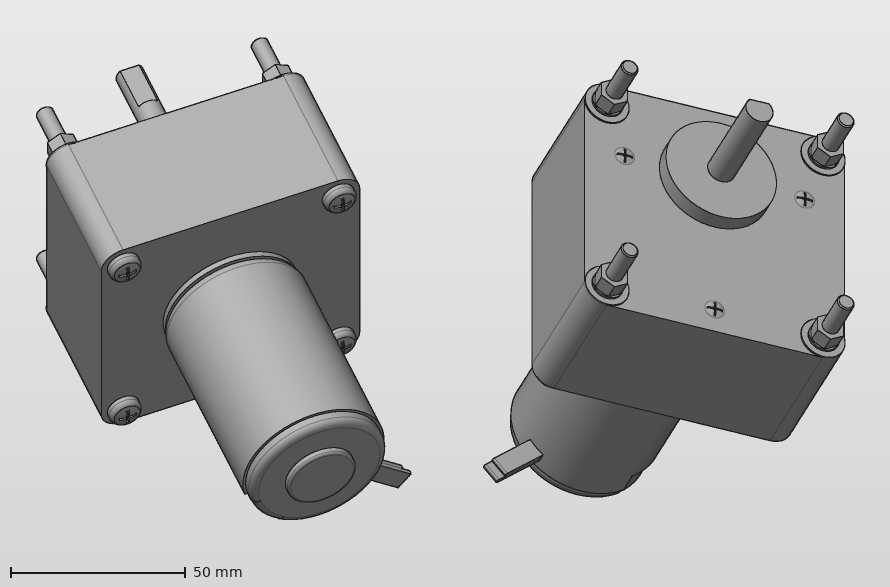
import cadquery as cq
import math

plate_x = 35.2
pad_x = 34.7
box_end_x = 76.6
overlap = 1.0

box_side = 80.0
corner_radius = 6.75
screw_offset = box_side / 2 - corner_radius

shaft_z = 15.0
shaft_diameter = 8.4
flat_length = 14.0
flat_height = 7.2
boss_x = 30.0
boss_diameter = 34.0

screw_diameter = 5.2
screw_tip_x = 16.7
screw_chamfer = 0.4
nut_x = 29.0
nut_end_x = 34.0
nut_across_flats = 8.0
nut_chamfer = 0.35
washer_diameter = 9.4
head_diameter = 9.8
head_rim = 1.3
head_height = 4.0
head_shoulder_height = 3.1
head_dome_diameter = 8.0
head_slot_length = 5.2
head_slot_width = 0.8
head_slot_depth = 1.2

cover_screw_centres = [(-27.7, 16.0), (27.7, 16.0), (0.0, -32.0)]
cover_screw_diameter = 6.0
cover_screw_height = plate_x - pad_x
cover_slot_length = 4.6
cover_slot_width = 0.5
cover_slot_depth = 0.7

motor_radius = 21.85
spigot_radius = 20.9
spigot_end_x = 78.4
body_round = 3.3
ring_end_x = 139.5
cap_radius = 21.0
cap_end_x = 143.9
cap_round = 2.2
bearing_radius = 10.5
bearing_end_x = 146.1
bearing_round = 0.8

recess_x = 132.5
recess_radius = 20.8
recess_start = 193.3
recess_sweep = 40.7

terminal_angle = -42.0
terminal_width = 6.0
terminal_tip_round = 0.5
terminal_root_radius = 19.0
long_blade = (135.3, 136.8, 39.7)
short_blade = (133.9, 135.3, 37.0)


def section(x):
    """Sketch plane across the motor axis at station x; local axes are Y and Z."""
    return cq.Workplane("YZ", origin=(x, 0, 0))


def rod(x_start, x_end, diameter, y=0.0, z=0.0):
    """Cylinder along X between two stations."""
    return section(x_start).center(y, z).circle(diameter / 2).extrude(x_end - x_start)


def cross_slot(x_start, depth, length, width, y, z):
    """Cross-shaped cutter for a screw drive."""
    base = section(x_start).center(y, z)
    return base.rect(length, width).extrude(depth).union(base.rect(width, length).extrude(depth))


def make_gearbox():
    """Rounded block with a raised pad at each front corner and the shaft boss."""
    box = section(plate_x).rect(box_side, box_side).extrude(box_end_x - plate_x)
    box = box.edges("|X").fillet(corner_radius)
    for y in (-screw_offset, screw_offset):
        for z in (-screw_offset, screw_offset):
            box = box.union(rod(pad_x, plate_x, 2 * corner_radius, y, z))
    return box.union(rod(boss_x, plate_x + overlap, boss_diameter, z=shaft_z))


def make_shaft():
    """Output shaft with a flat at its free end."""
    shaft = rod(0, boss_x + overlap, shaft_diameter, z=shaft_z)
    flat_z = shaft_z - shaft_diameter / 2 + flat_height
    cutter = cq.Workplane("XY", origin=(0, 0, flat_z)).rect(2 * flat_length, 2 * shaft_diameter)
    return shaft.cut(cutter.extrude(shaft_diameter))


def make_screw_head(y, z):
    """Pan head with a cross drive on the rear face of the gearbox."""
    rim_radius = head_diameter / 2
    dome_base_radius = head_dome_diameter / 2
    rim_x = box_end_x + head_rim
    shoulder_x = box_end_x + head_shoulder_height
    top_x = box_end_x + head_height
    dome_height = top_x - shoulder_x
    dome_radius = (dome_base_radius ** 2 + dome_height ** 2) / (2 * dome_height)
    profile = (
        cq.Workplane("XY")
        .moveTo(box_end_x - overlap, 0)
        .lineTo(box_end_x - overlap, rim_radius)
        .lineTo(rim_x, rim_radius)
        .tangentArcPoint((shoulder_x, dome_base_radius), relative=False)
        .radiusArc((top_x, 0), dome_radius)
        .close()
    )
    head = profile.revolve(360, (0, 0, 0), (1, 0, 0)).translate((0, y, z))
    slot_x = top_x - head_slot_depth
    return head.cut(cross_slot(slot_x, head_slot_depth, head_slot_length, head_slot_width, y, z))


def make_clamping_screw(y, z):
    """Threaded end, nut, washer and rear head of one corner screw."""
    stud = rod(screw_tip_x, pad_x + overlap, screw_diameter, y, z)
    stud = stud.faces("<X").chamfer(screw_chamfer)
    across_corners = nut_across_flats / math.cos(math.radians(30))
    nut = section(nut_x).polygon(6, across_corners).extrude(nut_end_x - nut_x)
    nut = nut.rotate((0, 0, 0), (1, 0, 0), 90)
    cone = rod(nut_x, nut_end_x, across_corners).faces(">X").chamfer(nut_chamfer)
    nut = nut.intersect(cone).translate((0, y, z))
    washer = rod(nut_end_x, pad_x + overlap, washer_diameter, y, z)
    return stud.union(nut).union(washer).union(make_screw_head(y, z))


def make_cover_screw(y, z):
    """Low domed head standing proud of the gearbox front."""
    radius = cover_screw_diameter / 2
    crown_x = plate_x - cover_screw_height
    sphere_radius = (radius ** 2 + cover_screw_height ** 2) / (2 * cover_screw_height)
    profile = (
        cq.Workplane("XY")
        .moveTo(crown_x, 0)
        .radiusArc((plate_x, radius), sphere_radius)
        .lineTo(plate_x + overlap, radius)
        .lineTo(plate_x + overlap, 0)
        .close()
    )
    return profile.revolve(360, (0, 0, 0), (1, 0, 0)).translate((0, y, z))


def make_cap_recess():
    """Cutter that lowers one sector of the ring and cap, keeping the rounding at the rear."""
    outer_radius = motor_radius + overlap
    recess = (
        cq.Workplane("XY")
        .moveTo(recess_x, recess_radius)
        .lineTo(cap_end_x - cap_round, recess_radius)
        .radiusArc((cap_end_x, recess_radius - cap_round), cap_round)
        .lineTo(cap_end_x + overlap, recess_radius - cap_round)
        .lineTo(cap_end_x + overlap, outer_radius)
        .lineTo(recess_x, outer_radius)
        .close()
        .revolve(recess_sweep, (0, 0, 0), (1, 0, 0))
    )
    return recess.rotate((0, 0, 0), (1, 0, 0), recess_start)


def make_motor():
    """Spigot, round can, stepped rear cap and bearing."""
    body = (
        cq.Workplane("XY")
        .moveTo(box_end_x - overlap, 0)
        .lineTo(ring_end_x, 0)
        .lineTo(ring_end_x, motor_radius)
        .lineTo(spigot_end_x + body_round, motor_radius)
        .radiusArc((spigot_end_x, motor_radius - body_round), -body_round)
        .lineTo(spigot_end_x, spigot_radius)
        .lineTo(box_end_x - overlap, spigot_radius)
        .close()
        .revolve(360, (0, 0, 0), (1, 0, 0))
    )
    cap = rod(ring_end_x - overlap, cap_end_x, 2 * cap_radius).faces(">X").edges().fillet(cap_round)
    bearing = rod(cap_end_x - overlap, bearing_end_x, 2 * bearing_radius)
    bearing = bearing.faces(">X").edges().fillet(bearing_round)
    return body.union(cap).cut(make_cap_recess()).union(bearing)


def make_blade(x_start, x_end, tip_radius):
    """Flat radial terminal blade."""
    length = tip_radius - terminal_root_radius
    middle = terminal_root_radius + length / 2
    blade = section(x_start).center(middle, 0).rect(length, terminal_width).extrude(x_end - x_start)
    blade = blade.faces(">Y").edges("|Z").fillet(terminal_tip_round)
    return blade.rotate((0, 0, 0), (1, 0, 0), terminal_angle)


result = make_gearbox().union(make_shaft()).union(make_motor())

for screw_y in (-screw_offset, screw_offset):
    for screw_z in (-screw_offset, screw_offset):
        result = result.union(make_clamping_screw(screw_y, screw_z))

for screw_y, screw_z in cover_screw_centres:
    slot = cross_slot(pad_x, cover_slot_depth, cover_slot_length, cover_slot_width, screw_y, screw_z)
    result = result.union(make_cover_screw(screw_y, screw_z)).cut(slot)

for blade_size in (long_blade, short_blade):
    result = result.union(make_blade(*blade_size))